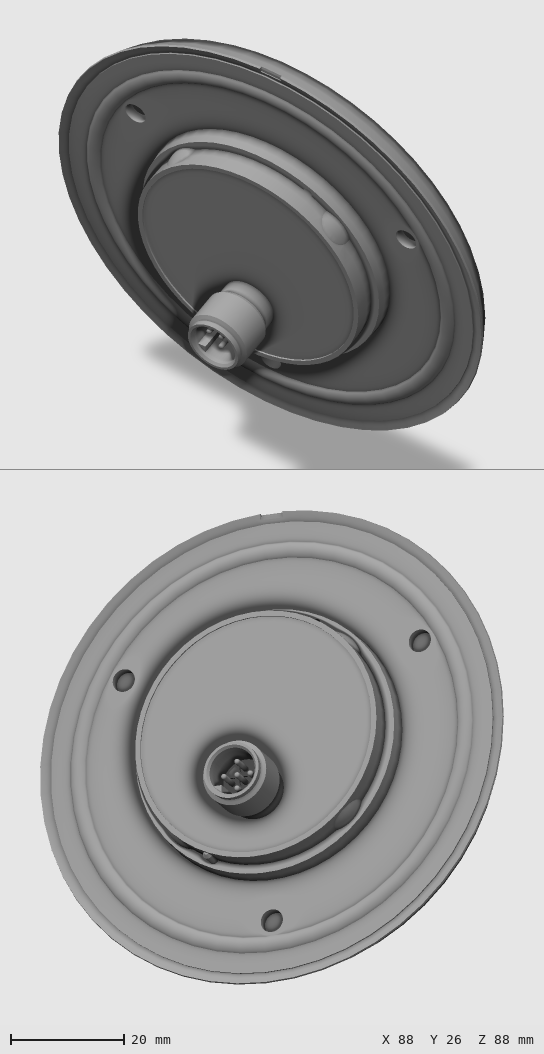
import cadquery as cq
import math


dome_flat_radius = 37.2
dome_crown_radius = 41.7
dome_crown_depth = 2.2
flank_tilt = math.radians(26)
rim_radius = 44.0
rim_edge_depth = 6.6
rim_lip_radius = 43.9
rim_depth = 7.0

slope_inner_radius = 42.05
slope_inner_depth = 6.4
plate_radius = 41.95
plate_depth = 6.7

bead_inner_radius = 35.25
bead_outer_radius = 38.25
bead_height = 0.65

hole_diameter = 4.2
hole_circle_radius = 32.45
hole_depth = 2.0
hole_angles = (30, 150, 270)

notch_width = 4.2
notch_inner_radius = 42.8
notch_floor_depth = 6.5
notch_slope_start_radius = 43.4
notch_slope = math.radians(20)
notch_overcut = 0.5

shoulder_root_radius = 24.8
shoulder_radius = 24.55
shoulder_depth = 10.0
base_radius = 45.8 / 2
base_depth = 14.3
base_recess_radius = 21.95
base_face_depth = base_depth - 0.3

bump_radius = 6.0
bump_centre_radius = 17.7
bump_centre_depth = 10.6
bump_angles = (45, 135, 225, 315)
bump_root = 1.0

peg_radius = 0.9
peg_circle_radius = 22.9
peg_angle = 245
peg_straight_depth = 13.0
peg_tip_depth = 13.7
peg_tip_radius = 0.35
peg_hole_angle = 65
peg_hole_length = 1.5

connector_z = -10.63
connector_end_depth = 26.03
neck_radius = 10.4 / 2
collar_radius = 12.0 / 2
collar_start_radius = 11.3 / 2
collar_start_depth = 17.45
collar_end_depth = 24.95
collar_chamfer_length = 0.6

socket_mouth_radius = 9.4 / 2
socket_radius = 8.6 / 2
socket_mouth_length = 0.5
socket_floor_depth = 19.0

insulator_radius = 3.6
insulator_height = 0.5
clearance_diameter = 2.0

key_corner_offset = 2.2
key_tip_depth = 25.0

contact_diameter = 1.0
contact_circle_radius = 2.5
contact_angles = (0, 90, 180, 270)
contact_tip_depth = 23.6
contact_tip_round = 0.4


def polar(radius, angle):
    return (radius * math.cos(math.radians(angle)), radius * math.sin(math.radians(angle)))


def rear_plane(depth):
    """Workplane at the given depth facing backwards: local x is X, local y is Z."""
    return cq.Workplane("XZ", origin=(0, -depth, 0))


def cylinder(x, z, radius, start_depth, end_depth):
    return rear_plane(start_depth).center(x, z).circle(radius).extrude(end_depth - start_depth)


def revolve_profile(profile):
    """Close a profile drawn in the XY plane and turn it around the Y axis."""
    return profile.close().revolve(360, (0, 0, 0), (0, 1, 0))


def make_disc():
    profile = (
        cq.Workplane("XY")
        .lineTo(dome_flat_radius, 0)
        .spline(
            [(dome_crown_radius, -dome_crown_depth), (rim_radius, -rim_edge_depth)],
            tangents=[(1, 0), (math.sin(flank_tilt), -math.cos(flank_tilt))],
            includeCurrent=True,
        )
        .lineTo(rim_lip_radius, -rim_depth)
        .lineTo(slope_inner_radius, -slope_inner_depth)
        .lineTo(plate_radius, -slope_inner_depth)
        .lineTo(plate_radius, -plate_depth)
        .lineTo(0, -plate_depth)
    )
    return revolve_profile(profile)


def make_bead():
    crest_radius = (bead_inner_radius + bead_outer_radius) / 2
    profile = (
        cq.Workplane("XY")
        .moveTo(bead_inner_radius, -plate_depth)
        .threePointArc(
            (crest_radius, -plate_depth - bead_height),
            (bead_outer_radius, -plate_depth),
        )
    )
    return revolve_profile(profile)


def make_base():
    profile = (
        cq.Workplane("XY")
        .moveTo(0, -plate_depth)
        .lineTo(shoulder_root_radius, -plate_depth)
        .lineTo(shoulder_radius, -shoulder_depth)
        .lineTo(base_radius, -shoulder_depth)
        .lineTo(base_radius, -base_depth)
        .lineTo(base_recess_radius, -base_depth)
        .lineTo(base_recess_radius, -base_face_depth)
        .lineTo(0, -base_face_depth)
    )
    return revolve_profile(profile)


def make_bump(angle):
    """Half ball on a short round neck, with the part deep inside the base removed."""
    x, z = polar(bump_centre_radius, angle)
    ball = cq.Workplane("XY").sphere(bump_radius).translate((x, -bump_centre_depth, z))
    rear_half = ball.intersect(cylinder(x, z, bump_radius, bump_centre_depth, base_depth))
    neck = cylinder(x, z, bump_radius, shoulder_depth, bump_centre_depth)
    inside = cylinder(0, 0, base_radius - bump_root, shoulder_depth, base_depth)
    return rear_half.union(neck).cut(inside)


def make_peg():
    x, z = polar(peg_circle_radius, peg_angle)
    shank = cylinder(x, z, peg_radius, shoulder_depth, peg_straight_depth)
    tip = (
        rear_plane(peg_straight_depth)
        .center(x, z)
        .circle(peg_radius)
        .workplane(offset=peg_tip_depth - peg_straight_depth)
        .circle(peg_tip_radius)
        .loft()
    )
    return shank.union(tip)


def make_peg_hole():
    """Hole in the shoulder that stops at the side of the base."""
    x, z = polar(peg_circle_radius, peg_hole_angle)
    hole_floor_depth = shoulder_depth - peg_hole_length
    hole = cylinder(x, z, peg_radius, hole_floor_depth, shoulder_depth)
    return hole.cut(cylinder(0, 0, base_radius, hole_floor_depth, shoulder_depth))


def make_notch():
    outer_radius = rim_radius + notch_overcut
    slope_rise = (outer_radius - notch_slope_start_radius) * math.tan(notch_slope)
    return (
        cq.Workplane("YZ")
        .moveTo(-rim_depth, notch_inner_radius)
        .lineTo(-notch_floor_depth, notch_inner_radius)
        .lineTo(-notch_floor_depth, notch_slope_start_radius)
        .lineTo(-notch_floor_depth + slope_rise, outer_radius)
        .lineTo(-rim_depth, outer_radius)
        .close()
        .extrude(notch_width / 2, both=True)
    )


def make_housing():
    body = make_disc().union(make_bead()).union(make_base()).union(make_peg())
    for angle in bump_angles:
        body = body.union(make_bump(angle))
    for angle in hole_angles:
        x, z = polar(hole_circle_radius, angle)
        body = body.cut(cylinder(x, z, hole_diameter / 2, plate_depth - hole_depth, plate_depth))
    return body.cut(make_peg_hole()).cut(make_notch())


def make_shell():
    profile = (
        cq.Workplane("XY")
        .moveTo(0, -base_face_depth)
        .lineTo(neck_radius, -base_face_depth)
        .lineTo(neck_radius, -collar_start_depth)
        .lineTo(collar_start_radius, -collar_start_depth)
        .lineTo(collar_radius, -collar_start_depth - collar_chamfer_length)
        .lineTo(collar_radius, -collar_end_depth + collar_chamfer_length)
        .lineTo(neck_radius, -collar_end_depth)
        .lineTo(neck_radius, -connector_end_depth)
        .lineTo(socket_mouth_radius, -connector_end_depth)
        .lineTo(socket_radius, -connector_end_depth + socket_mouth_length)
        .lineTo(socket_radius, -socket_floor_depth)
        .lineTo(0, -socket_floor_depth)
    )
    return revolve_profile(profile)


def make_insulator():
    top_depth = socket_floor_depth + insulator_height
    clearance_radius = clearance_diameter / 2
    insulator = cylinder(0, 0, insulator_radius, socket_floor_depth, top_depth)
    insulator = insulator.cut(cylinder(0, 0, clearance_radius, socket_floor_depth, top_depth))
    for angle in contact_angles:
        x, z = polar(contact_circle_radius, angle)
        round_end = cylinder(x, z, clearance_radius, socket_floor_depth, top_depth)
        open_end = (
            rear_plane(socket_floor_depth)
            .transformed(rotate=(0, 0, angle))
            .center(contact_circle_radius + insulator_radius / 2, 0)
            .rect(insulator_radius, clearance_diameter)
            .extrude(insulator_height)
        )
        insulator = insulator.cut(round_end).cut(open_end)
    return insulator


def make_key():
    """Square-cornered rib filling the wall side of the -X, -Z corner of the socket."""
    outer_radius = (socket_radius + neck_radius) / 2
    key_length = key_tip_depth - socket_floor_depth
    corner = (
        rear_plane(socket_floor_depth)
        .moveTo(-key_corner_offset, -key_corner_offset)
        .rect(-outer_radius, -outer_radius, centered=False)
        .extrude(key_length)
    )
    return corner.intersect(cylinder(0, 0, outer_radius, socket_floor_depth, key_tip_depth))


def make_contact(x, z):
    pin = cylinder(x, z, contact_diameter / 2, socket_floor_depth, contact_tip_depth)
    return pin.faces("<Y").edges().fillet(contact_tip_round)


def make_connector():
    body = make_shell().union(make_insulator()).union(make_key())
    body = body.union(make_contact(0, 0))
    for angle in contact_angles:
        body = body.union(make_contact(*polar(contact_circle_radius, angle)))
    return body.translate((0, 0, connector_z))


housing = make_housing()
connector = make_connector()
result = cq.Compound.makeCompound([housing.val(), connector.val()])